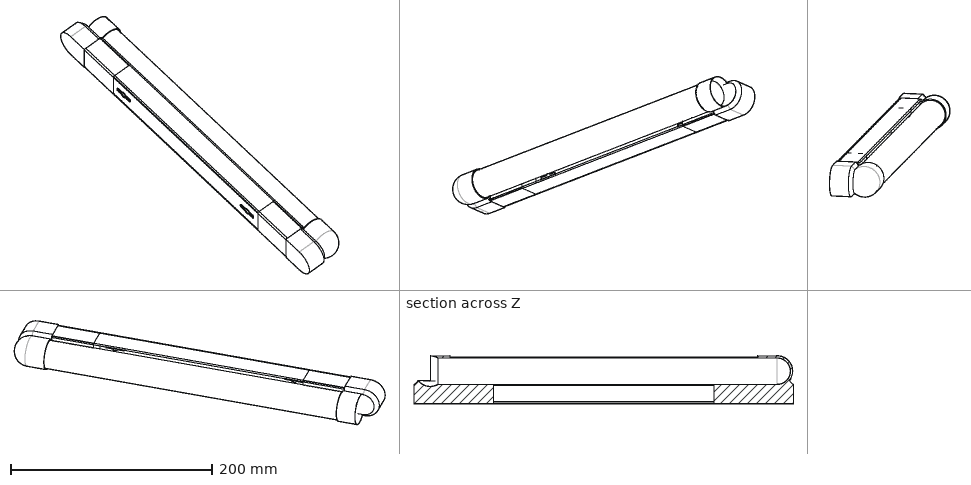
import cadquery as cq

length = 377.0
depth = 48.0
height = 31.0
half_height = height / 2

seam_x = 152.5
cap_back = 23.8
cap_chamfer = 4.5
channel_front = 0.08
channel_back = 23.5
channel_height = 30.5
front_bevel_y = 2.3
back_bevel_y = 2.0
bevel_z = 0.8
wall = 0.8
inner_front = channel_front + wall
tongue_length = 43.5
tongue_back = 21.0

lamp_y = depth - half_height
lamp_radius = 14.5
bore_radius = 26.0 / 2
ring_end = 172.3
scoop_radius = 15.0

slot_middle = 93.0
entry_x = 93.5
entry_diameter = 6.5
slot_width = 3.5
slot_length = 19.5


def x_cylinder(radius, x_start, x_end):
    """Cylinder along X on the lamp axis."""
    plane = cq.Workplane("YZ", origin=(x_start, lamp_y, 0))
    return plane.circle(radius).extrude(x_end - x_start)


def channel_outline():
    """Outer channel section with bevelled front and back corners."""
    top = channel_height / 2
    upper_side = [
        (channel_front, top - bevel_z),
        (front_bevel_y, top),
        (channel_back - back_bevel_y, top),
        (channel_back, top - bevel_z),
    ]
    mirrored = [(y, -z) for y, z in reversed(upper_side)]
    return upper_side + mirrored


def make_channel():
    """Thin-walled channel, open toward the lamp."""
    plane = cq.Workplane("YZ", origin=(-seam_x, 0, 0))
    shell = plane.polyline(channel_outline()).close().extrude(2 * seam_x)
    cavity_depth = channel_back - inner_front
    cavity = cq.Workplane("XY").box(2 * seam_x, cavity_depth, channel_height - 2 * wall)
    cavity = cavity.translate((0, inner_front + cavity_depth / 2, 0))
    return shell.cut(cavity)


def make_end_cap(side):
    """Round-ended cap with a chamfered back and a tongue; side is -1 or 1."""
    capsule = cq.Workplane("XZ").slot2D(length, height).extrude(-cap_back)
    capsule = capsule.faces(">Y").chamfer(cap_chamfer)
    end_length = length / 2 - seam_x
    keep = cq.Workplane("XY").box(end_length, 2 * depth, 2 * height)
    cap = capsule.intersect(keep.translate((side * (seam_x + end_length / 2), 0, 0)))
    tongue = cq.Workplane("XY").box(tongue_length, tongue_back - inner_front, channel_height - 2 * wall)
    tongue_x = side * (seam_x - tongue_length / 2)
    return cap.union(tongue.translate((tongue_x, (inner_front + tongue_back) / 2, 0)))


def ball(radius, x):
    """Sphere centred on the lamp axis, with its poles along X."""
    profile = cq.Workplane("XY", origin=(x, lamp_y, 0)).moveTo(-radius, 0)
    profile = profile.threePointArc((0, radius), (radius, 0)).close()
    return profile.revolve(360, (0, 0, 0), (1, 0, 0))


def make_lamp():
    """Tube carried by two end rings, with a dome on the right one."""
    lamp = x_cylinder(lamp_radius, -ring_end, ring_end)
    lamp = lamp.union(x_cylinder(half_height, -ring_end, -seam_x))
    lamp = lamp.union(x_cylinder(half_height, seam_x, ring_end))
    return lamp.union(ball(half_height, ring_end))


def make_lamp_cavity():
    """Bore closed under the dome, with a ball-shaped scoop at the open left end."""
    bore = x_cylinder(bore_radius, -ring_end, ring_end)
    return bore.union(ball(bore_radius, ring_end)).union(ball(scoop_radius, -ring_end))


def make_keyhole(side):
    """Round entry on a slot that is square at its outer end and round at its inner end."""
    half_width = slot_width / 2
    outer_x = side * (slot_middle + slot_length / 2)
    inner_x = side * (slot_middle - slot_length / 2)
    arc_x = inner_x + side * half_width
    plane = cq.Workplane("XZ")
    slot = plane.moveTo(outer_x, half_width).lineTo(arc_x, half_width)
    slot = slot.threePointArc((inner_x, 0), (arc_x, -half_width)).lineTo(outer_x, -half_width)
    slot = slot.close().extrude(-inner_front)
    entry = plane.center(side * entry_x, 0).circle(entry_diameter / 2).extrude(-inner_front)
    return slot.union(entry)


base = make_channel()
for side in (-1, 1):
    base = base.union(make_end_cap(side)).cut(make_keyhole(side))

result = base.union(make_lamp()).cut(make_lamp_cavity())